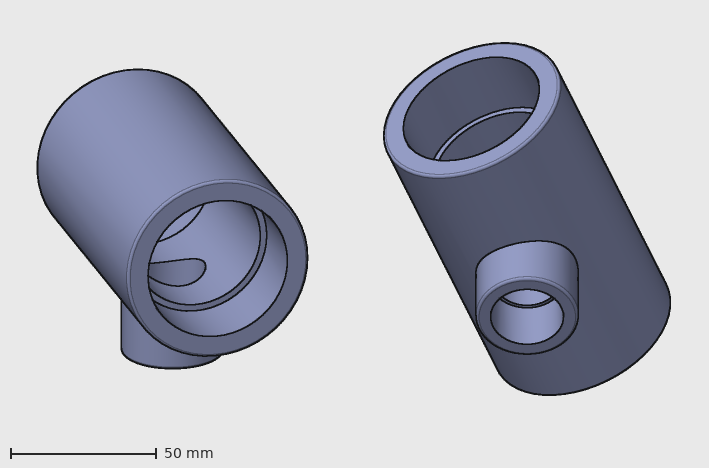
import cadquery as cq

body_length = 107.5
body_diameter = 65.0
bore_diameter = 45.4
socket_diameter = 50.0
socket_depth = 24.5

overall_height = 83.5
branch_diameter = 35.2
branch_bore_diameter = 22.8
branch_socket_diameter = 25.0
branch_socket_depth = 19.0
branch_reach = overall_height - body_diameter / 2

edge_radius = 1.0


def cylinder_x(diameter, start, length):
    """Cylinder on the X axis, running towards +X from start."""
    return cq.Workplane("YZ", origin=(start, 0, 0)).circle(diameter / 2).extrude(length)


def cylinder_up(diameter, length):
    """Cylinder on the Z axis, rising from the branch mouth."""
    return cq.Workplane("XY", origin=(0, 0, -branch_reach)).circle(diameter / 2).extrude(length)


body = cylinder_x(body_diameter, -body_length / 2, body_length)
body = body.faces("<X or >X").fillet(edge_radius)
branch = cylinder_up(branch_diameter, branch_reach).faces("<Z").fillet(edge_radius)
result = body.union(branch)

result = result.cut(cylinder_x(bore_diameter, -body_length / 2, body_length))
for socket_start in (-body_length / 2, body_length / 2 - socket_depth):
    result = result.cut(cylinder_x(socket_diameter, socket_start, socket_depth))

result = result.cut(cylinder_up(branch_bore_diameter, branch_reach))
result = result.cut(cylinder_up(branch_socket_diameter, branch_socket_depth))